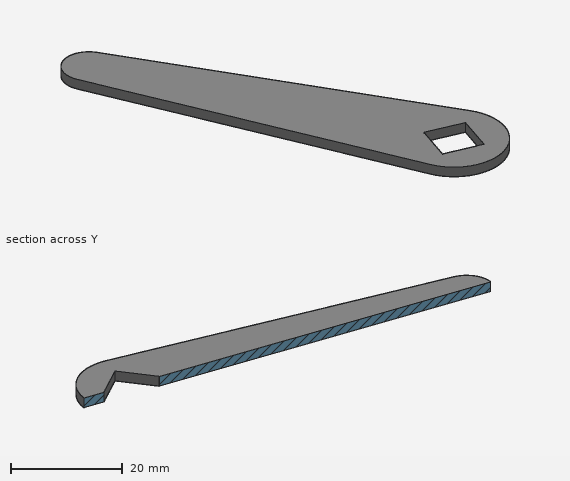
import cadquery as cq
import math

length = 85.0
thickness = 2.0
head_diameter = 20.0
tip_diameter = 10.0
square_side = 8.15

head_radius = head_diameter / 2
tip_radius = tip_diameter / 2
center_distance = length - head_radius - tip_radius

taper_angle = math.asin((head_radius - tip_radius) / center_distance)


def tangent_point(center_x, radius, side):
    """Point where a straight edge meets an end arc; side is +1 or -1 in Y."""
    return (
        center_x - radius * math.sin(taper_angle),
        side * radius * math.cos(taper_angle),
    )


lever = (
    cq.Workplane("XY")
    .moveTo(*tangent_point(0, head_radius, -1))
    .threePointArc((head_radius, 0), tangent_point(0, head_radius, 1))
    .lineTo(*tangent_point(-center_distance, tip_radius, 1))
    .threePointArc(
        (-center_distance - tip_radius, 0),
        tangent_point(-center_distance, tip_radius, -1),
    )
    .close()
    .extrude(thickness)
)

square_hole = (
    cq.Workplane("XY")
    .rect(square_side, square_side)
    .extrude(thickness)
    .rotate((0, 0, 0), (0, 0, 1), 45)
)

result = lever.cut(square_hole)